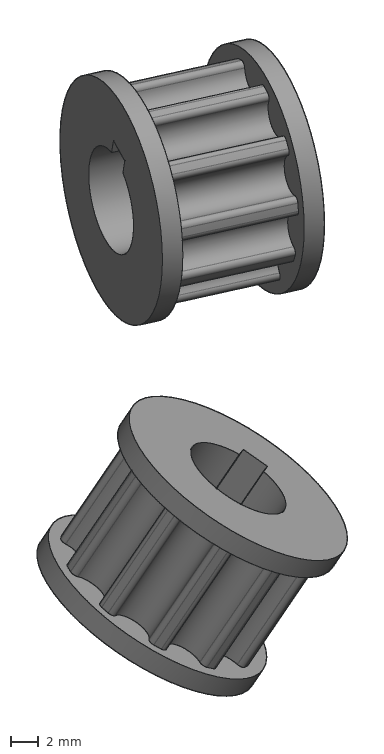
import cadquery as cq
import math

flange_radius = 9.18
total_width = 12.69
flange_width = 1.6
bore_radius = 4.0

tooth_count = 11
tooth_pitch = 360 / tooth_count
tip_radius = 8.19
land_width = 0.65
groove_depth = 1.87
tip_fillet = 0.42

key_width = 2.11
key_top = 5.09
key_angle = tooth_pitch / 2

land_half_angle = math.degrees(land_width / 2 / tip_radius)
fillet_angle = math.radians(tooth_pitch / 2 - land_half_angle)
fillet_x = (tip_radius - tip_fillet) * math.sin(fillet_angle)
fillet_z = (tip_radius - tip_fillet) * math.cos(fillet_angle)
groove_floor = tip_radius - groove_depth
fillet_height = fillet_z - groove_floor
groove_radius = (fillet_x**2 + fillet_height**2 - tip_fillet**2) / (2 * (tip_fillet + fillet_height))
groove_center_z = groove_floor + groove_radius


def cylinder(radius, width):
    return cq.Workplane("XZ", origin=(0, width / 2, 0)).circle(radius).extrude(width)


def groove_cutter(width):
    """Cutter for the groove at +Z, closed above the tooth tips."""
    crest_x = tip_radius * math.sin(fillet_angle)
    crest_z = tip_radius * math.cos(fillet_angle)
    touch_angle = math.atan2(-fillet_x, groove_center_z - fillet_z)
    touch_x = fillet_x + tip_fillet * math.sin(touch_angle)
    touch_z = fillet_z + tip_fillet * math.cos(touch_angle)
    mid_angle = (fillet_angle + touch_angle) / 2
    mid_x = fillet_x + tip_fillet * math.sin(mid_angle)
    mid_z = fillet_z + tip_fillet * math.cos(mid_angle)
    return (
        cq.Workplane("XZ", origin=(0, width / 2, 0))
        .moveTo(-crest_x, crest_z)
        .threePointArc((-mid_x, mid_z), (-touch_x, touch_z))
        .threePointArc((0, groove_floor), (touch_x, touch_z))
        .threePointArc((mid_x, mid_z), (crest_x, crest_z))
        .lineTo(crest_x, flange_radius)
        .lineTo(-crest_x, flange_radius)
        .close()
        .extrude(width)
    )


def toothed_rim(width):
    rim = cylinder(tip_radius, width)
    cutter = groove_cutter(width)
    for index in range(tooth_count):
        rim = rim.cut(cutter.rotate((0, 0, 0), (0, 1, 0), index * tooth_pitch))
    return rim


def flange(side):
    offset = side * (total_width - flange_width) / 2
    return cylinder(flange_radius, flange_width).translate((0, offset, 0))


def keyway():
    slot = cq.Workplane("XY").box(key_width, total_width, key_top, centered=(True, True, False))
    return slot.rotate((0, 0, 0), (0, 1, 0), key_angle)


pulley = toothed_rim(total_width - 2 * flange_width)
pulley = pulley.union(flange(-1)).union(flange(1))
result = pulley.cut(cylinder(bore_radius, total_width)).cut(keyway())